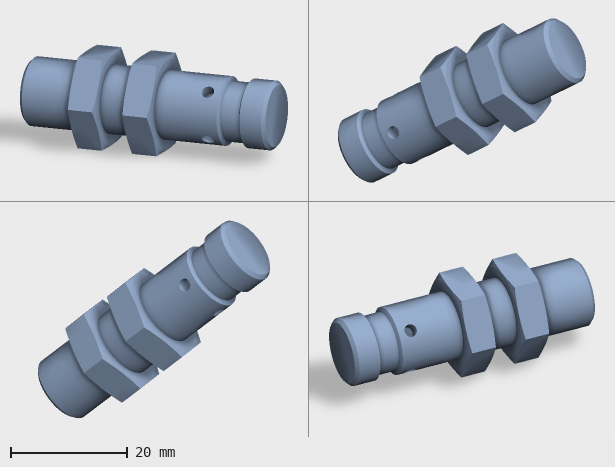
import cadquery as cq
import math

LENGTH = 45.0
BARREL_DIAMETER = 12.0
END_FACE_DIAMETER = 10.8

NECK_DIAMETER = 10.5
NECK_START = 36.68
NECK_END = 40.05
NECK_CONE_LENGTH = 0.4

HOLE_DIAMETER = 2.2
HOLE_POSITION = 34.0
HOLE_DEPTH = 2.5
HOLE_COUNT = 4
FIRST_HOLE_ANGLE = 45.0

NUT_ACROSS_FLATS = 16.0
NUT_THICKNESS = 5.0
NUT_FACE_DIAMETER = 15.8
NUT_CHAMFER_ANGLE = 12.0
NUT_POSITIONS = (10.0, 20.0)

BARREL_RADIUS = BARREL_DIAMETER / 2
END_FACE_RADIUS = END_FACE_DIAMETER / 2
END_CHAMFER = BARREL_RADIUS - END_FACE_RADIUS
NECK_RADIUS = NECK_DIAMETER / 2
NUT_ACROSS_CORNERS = NUT_ACROSS_FLATS / math.cos(math.radians(30))


def make_barrel():
    """Turned barrel with chamfered ends, a neck and a ring of radial holes."""
    profile = [
        (0, 0),
        (0, END_FACE_RADIUS),
        (END_CHAMFER, BARREL_RADIUS),
        (NECK_START - NECK_CONE_LENGTH, BARREL_RADIUS),
        (NECK_START, NECK_RADIUS),
        (NECK_END, NECK_RADIUS),
        (NECK_END + NECK_CONE_LENGTH, BARREL_RADIUS),
        (LENGTH - END_CHAMFER, BARREL_RADIUS),
        (LENGTH, END_FACE_RADIUS),
        (LENGTH, 0),
    ]
    barrel = cq.Workplane("XY").polyline(profile).close().revolve(360, (0, 0, 0), (1, 0, 0))

    drill = (
        cq.Workplane("XY", origin=(HOLE_POSITION, 0, BARREL_RADIUS))
        .circle(HOLE_DIAMETER / 2)
        .extrude(-HOLE_DEPTH)
    )
    for index in range(HOLE_COUNT):
        angle = FIRST_HOLE_ANGLE + index * 360 / HOLE_COUNT
        barrel = barrel.cut(drill.rotate((0, 0, 0), (1, 0, 0), angle))
    return barrel


def make_nut(position):
    """Hexagon nut with its corners chamfered on both faces; flats face +Z and -Z."""
    hexagon = cq.Workplane("YZ").polygon(6, NUT_ACROSS_CORNERS).extrude(NUT_THICKNESS)

    face_radius = NUT_FACE_DIAMETER / 2
    corner_radius = NUT_ACROSS_CORNERS / 2
    chamfer_length = (corner_radius - face_radius) * math.tan(math.radians(NUT_CHAMFER_ANGLE))
    envelope_profile = [
        (0, 0),
        (0, face_radius),
        (chamfer_length, corner_radius),
        (NUT_THICKNESS - chamfer_length, corner_radius),
        (NUT_THICKNESS, face_radius),
        (NUT_THICKNESS, 0),
    ]
    envelope = cq.Workplane("XY").polyline(envelope_profile).close().revolve(360, (0, 0, 0), (1, 0, 0))

    bore = cq.Workplane("YZ").circle(BARREL_RADIUS).extrude(NUT_THICKNESS)
    return hexagon.intersect(envelope).cut(bore).translate((position, 0, 0))


barrel = make_barrel()
nuts = [make_nut(position) for position in NUT_POSITIONS]

result = cq.Compound.makeCompound([barrel.val(), *[nut.val() for nut in nuts]])